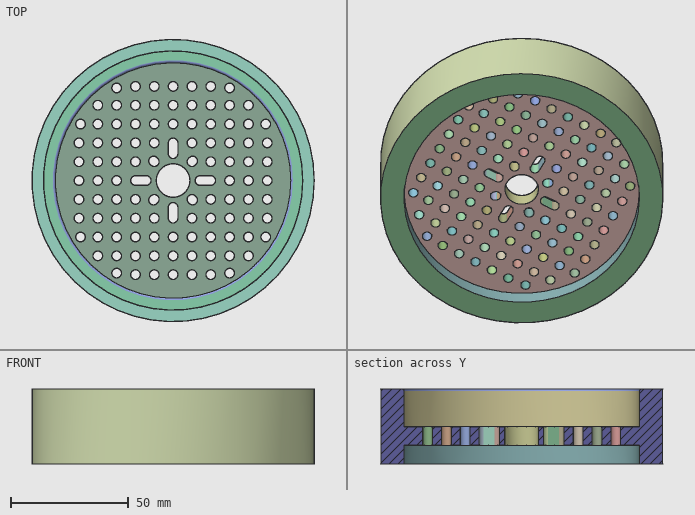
import cadquery as cq
import math

outer_diameter = 120.0
height = outer_diameter * 4 / 15
outer_radius = outer_diameter / 2

bore_radius = outer_radius * 5 / 6
rim_rounding = outer_radius / 60
floor_thickness = height / 4
floor_bottom = height / 4
floor_top = floor_bottom + floor_thickness

groove_radius = outer_radius * 11 / 12
groove_width = 0.1
groove_depth = 1.0

pitch = outer_diameter / 15
hole_diameter = pitch / 2
grid_reach = 5
last_row_half_count = 3
outermost_hole_radius = 46.1

center_hole_radius = 7.1
slot_inner_radius = 11.4
slot_reach = 2
slot_outer_radius = slot_reach * pitch
diagonal_inner_radius = pitch * math.sqrt(2)
diagonal_outer_radius = 11.8


def cylinder(radius, bottom, top):
    """Vertical cylinder on the part's axis."""
    return cq.Workplane("XY").workplane(offset=bottom).circle(radius).extrude(top - bottom)


def make_ring():
    """Outer ring with the floor inside it and a rounded upper rim."""
    upper_bore = cylinder(bore_radius, floor_top, height)
    lower_bore = cylinder(bore_radius, 0, floor_bottom)
    ring = cylinder(outer_radius, 0, height).cut(upper_bore).cut(lower_bore)
    rim = cq.selectors.RadiusNthSelector(0)
    return ring.faces(">Z").edges(rim).fillet(rim_rounding)


def make_groove():
    """Narrow circular groove sunk into the top face."""
    bottom = height - groove_depth
    outside = cylinder(groove_radius + groove_width, bottom, height)
    return outside.cut(cylinder(groove_radius, bottom, height))


def hole_center(column, row):
    """Grid position, with the outermost holes pulled in along their longer coordinate."""
    x = column * pitch
    y = row * pitch
    if math.hypot(x, y) > outermost_hole_radius:
        if abs(x) > abs(y):
            x = math.copysign(math.sqrt(outermost_hole_radius**2 - y**2), x)
        else:
            y = math.copysign(math.sqrt(outermost_hole_radius**2 - x**2), y)
    return x, y


def grid_hole_centers():
    """Centres of the round holes, leaving out the middle and the far corners."""
    centers = []
    indices = range(-grid_reach, grid_reach + 1)
    for column in indices:
        for row in indices:
            in_slot = column * row == 0 and abs(column + row) <= slot_reach
            on_diagonal = abs(column) == 1 and abs(row) == 1
            in_corner = column**2 + row**2 > grid_reach**2 + last_row_half_count**2
            if not (in_slot or on_diagonal or in_corner):
                centers.append(hole_center(column, row))
    return centers


def radial_slot(inner, outer, angle):
    """Slot cutter along a radius; inner and outer are its end-arc centre radii."""
    slot = cq.Workplane("XY").workplane(offset=floor_bottom).center((inner + outer) / 2, 0)
    slot = slot.slot2D(outer - inner + hole_diameter, hole_diameter).extrude(floor_thickness)
    return slot.rotate((0, 0, 0), (0, 0, 1), angle)


result = make_ring().cut(make_groove())
result = result.cut(cylinder(center_hole_radius, floor_bottom, floor_top))

grid_plane = cq.Workplane("XY").workplane(offset=floor_bottom)
holes = grid_plane.pushPoints(grid_hole_centers()).circle(hole_diameter / 2)
result = result.cut(holes.extrude(floor_thickness))

for quarter in range(4):
    angle = 90 * quarter
    result = result.cut(radial_slot(slot_inner_radius, slot_outer_radius, angle))
    result = result.cut(radial_slot(diagonal_inner_radius, diagonal_outer_radius, angle + 45))